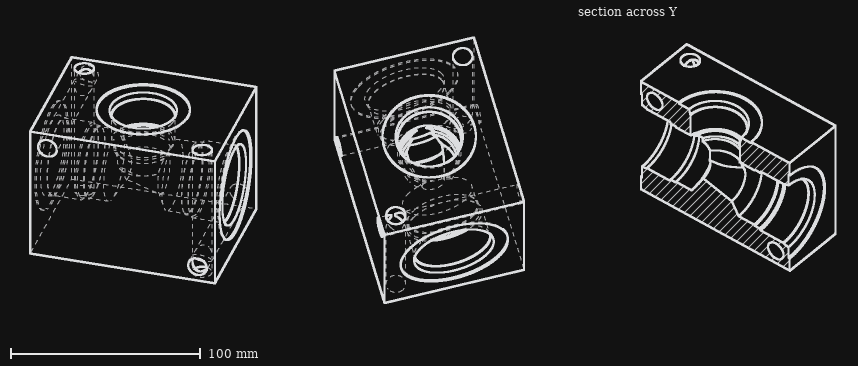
import cadquery as cq
import math

length = 101.6
width = 76.2
height = 76.2

mounting_hole_diameter = 10.3
mounting_hole_x = 41.2
mounting_hole_side = 29.4

spotface_depth = 0.8
mouth_depth = 4.2
drill_point_angle = 118.0
drill_slope = math.tan(math.radians(drill_point_angle / 2))

run_port = {
    "spotface_diameter": 58.5,
    "mouth_diameter": 43.5,
    "mouth_root_diameter": 41.8,
    "thread_diameter": 41.2,
    "tap_diameter": 39.2,
    "drill_diameter": 38.1,
    "thread_depth": 19.8,
    "tap_depth": 23.8,
    "drill_depth": 34.7,
}

branch_port = {
    "spotface_diameter": 49.2,
    "mouth_diameter": 35.5,
    "mouth_root_diameter": 33.7,
    "thread_diameter": 33.3,
    "tap_diameter": 31.3,
    "drill_diameter": 28.7,
    "thread_depth": 19.6,
    "tap_depth": 24.0,
    "drill_depth": 32.7,
}

passage_small_radius = 6.1
passage_large_radius = 11.2


def port_cutter(port):
    """Stepped port opening at Z = 0 and running down; every step has the slope of a drill point."""
    spotface = port["spotface_diameter"] / 2
    mouth = port["mouth_diameter"] / 2
    mouth_root = port["mouth_root_diameter"] / 2
    thread = port["thread_diameter"] / 2
    tap = port["tap_diameter"] / 2
    drill = port["drill_diameter"] / 2

    thread_start = mouth_depth + (mouth_root - thread) / drill_slope
    tap_start = port["thread_depth"] + (thread - tap) / drill_slope
    drill_start = port["tap_depth"] + (tap - drill) / drill_slope
    drill_tip = port["drill_depth"] + drill / drill_slope

    return (
        cq.Workplane("XZ")
        .lineTo(spotface, 0)
        .lineTo(spotface, -spotface_depth)
        .lineTo(mouth, -spotface_depth)
        .lineTo(mouth_root, -mouth_depth)
        .lineTo(thread, -thread_start)
        .lineTo(thread, -port["thread_depth"])
        .lineTo(tap, -tap_start)
        .lineTo(tap, -port["tap_depth"])
        .lineTo(drill, -drill_start)
        .lineTo(drill, -port["drill_depth"])
        .lineTo(0, -drill_tip)
        .close()
        .revolve(360, (0, 0, 0), (0, 1, 0))
    )


def run_passage():
    """Cone along X whose two end circles lie on the drill points of the run ports."""
    drill_radius = run_port["drill_diameter"] / 2
    drill_tip_x = length / 2 - run_port["drill_depth"] - drill_radius / drill_slope
    small_end_x = -drill_tip_x - passage_small_radius / drill_slope
    large_end_x = drill_tip_x + passage_large_radius / drill_slope
    return (
        cq.Workplane("XY")
        .moveTo(small_end_x, 0)
        .lineTo(small_end_x, passage_small_radius)
        .lineTo(large_end_x, passage_large_radius)
        .lineTo(large_end_x, 0)
        .close()
        .revolve(360, (0, 0, 0), (1, 0, 0))
    )


def mounting_holes(plane, depth):
    """Two diagonally opposite round holes through the whole block, square to the given plane."""
    return (
        cq.Workplane(plane)
        .pushPoints(
            [
                (-mounting_hole_x, mounting_hole_side),
                (mounting_hole_x, -mounting_hole_side),
            ]
        )
        .circle(mounting_hole_diameter / 2)
        .extrude(depth / 2, both=True)
    )


result = cq.Workplane("XY").box(length, width, height)

run_cutter = port_cutter(run_port).translate((0, 0, length / 2))
for turn in (-90, 90):
    result = result.cut(run_cutter.rotate((0, 0, 0), (0, 1, 0), turn))
result = result.cut(run_passage())

result = result.cut(port_cutter(branch_port).translate((0, 0, height / 2)))

result = result.cut(mounting_holes("XY", height))
result = result.cut(mounting_holes("XZ", width))